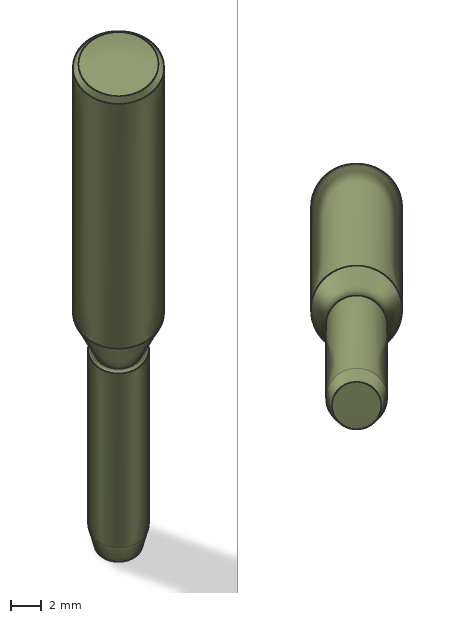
import cadquery as cq

total_length = 52.0
shank_diameter = 6.0
top_chamfer = 0.35
neck_diameter = 3.2
neck_cone_length = 4.0
pin_diameter = 4.0
pin_length = 21.0
tip_diameter = 3.2
tip_length = 2.1

shank_length = total_length - pin_length - neck_cone_length
pin_straight_length = pin_length - tip_length


def make_cone(bottom_diameter, top_diameter, height, base_height):
    """Upright truncated cone on the Z axis."""
    return cq.Workplane(
        cq.Solid.makeCone(bottom_diameter / 2, top_diameter / 2, height, cq.Vector(0, 0, base_height))
    )


def make_shank():
    """Chamfered cylinder that narrows to a neck resting on the pin."""
    cone = make_cone(neck_diameter, shank_diameter, neck_cone_length, pin_length)
    cylinder = (
        cq.Workplane("XY", origin=(0, 0, pin_length + neck_cone_length))
        .circle(shank_diameter / 2)
        .extrude(shank_length)
        .faces(">Z")
        .chamfer(top_chamfer)
    )
    return cylinder.union(cone)


def make_pin():
    """Cylinder with a flat top and a tapered lower tip."""
    tip = make_cone(tip_diameter, pin_diameter, tip_length, 0)
    cylinder = (
        cq.Workplane("XY", origin=(0, 0, tip_length))
        .circle(pin_diameter / 2)
        .extrude(pin_straight_length)
    )
    return cylinder.union(tip)


shank = make_shank()
pin = make_pin()

result = cq.Compound.makeCompound([*shank.vals(), *pin.vals()])